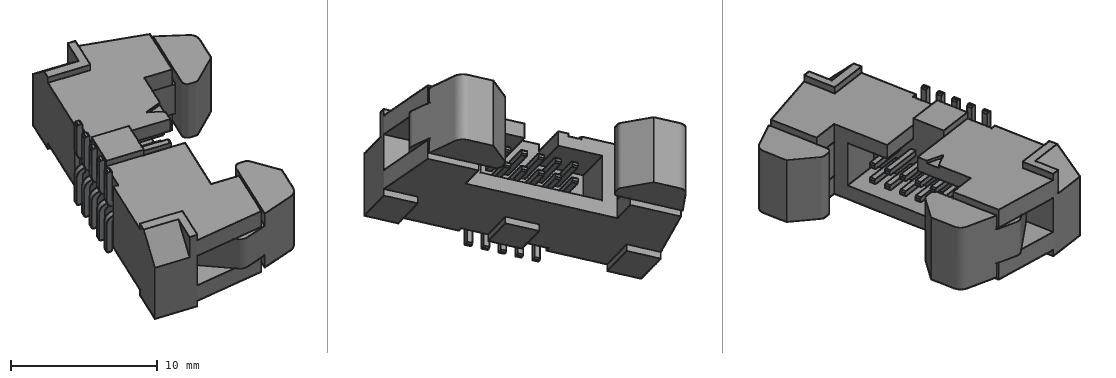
import cadquery as cq
import math


half_length = 10.42
body_height = 5.7
rim_y = 6.2
tower_y = 8.27
tower_inner_x = 5.7
tower_outer_x = 9.52

raised_height = 6.73
flange_y = 3.15
flange_length = 2.56
corner_cut = 1.92
corner_cut_y = 2.56

pitch = 1.27
contacts_per_row = 5
contact_width = 0.42
contact_thickness = 0.42
row_spacing = 1.23
bend_radius = 0.7
contact_back_y = -0.25
tail_span = 7.52
tip_length = 0.1
tip_inset = 0.1

top_wall = 1.12
cavity_height = body_height - 2 * top_wall
cavity_half_length = tower_inner_x - top_wall
pad_half_length = pitch
back_recess_half_length = 3.3
back_recess_depth = 0.37
mark_width = 1.0
mark_length = 1.2
mark_depth = 0.2

latch_top_y = 11.31
head_bottom_y = 8.52
head_height = 5.06
shank_height = 2.77
head_outer_x = 8.5
head_inner_x = 6.05
nose_x = 4.25
nose_radius = 0.42
shoulder_radius = 0.8
outer_slope = 0.37
bulge_y = 6.69
bulge_radius = 0.75
foot_slope = 0.58


def block(x_min, x_max, y_min, y_max, height):
    """Box between two X and two Y values, centred on Z = 0."""
    length = x_max - x_min
    depth = y_max - y_min
    return cq.Workplane("XY").box(length, depth, height).translate(
        ((x_min + x_max) / 2, (y_min + y_max) / 2, 0)
    )


def prism(points, height):
    """XY outline extruded equally above and below Z = 0."""
    return cq.Workplane("XY").polyline(points).close().extrude(height / 2, both=True)


def mirrored(shape):
    """Copy of a shape on the other side of the YZ plane."""
    return shape.mirror("YZ")


def round_edge(shape, x, y, radius):
    """Fillet the Z-parallel edge that stands at (x, y)."""
    return shape.edges(cq.NearestToPointSelector((x, y, 0))).fillet(radius)


def make_block():
    """Main block with a tapered tower at each end."""
    right_side = [
        (half_length, 0),
        (half_length, flange_y),
        (tower_outer_x, tower_y),
        (tower_inner_x, tower_y),
        (tower_inner_x, rim_y),
    ]
    left_side = [(-x, y) for x, y in reversed(right_side)]
    return prism(right_side + left_side, body_height)


def make_corner_cut():
    """Wedge that slopes off the upper outer corner of the left flange."""
    top_z = raised_height / 2
    return (
        cq.Workplane("XZ")
        .polyline(
            [
                (-half_length, top_z),
                (corner_cut - half_length, top_z),
                (-half_length, top_z - corner_cut),
            ]
        )
        .close()
        .extrude(-corner_cut_y)
    )


def make_cavity():
    """Mating cavity, with a keying slot through the upper wall."""
    cavity = block(-cavity_half_length, cavity_half_length, flange_y, rim_y, cavity_height)
    key_slot = block(-pad_half_length, pad_half_length, flange_y, rim_y, body_height / 2).translate(
        (0, 0, body_height / 4)
    )
    return cavity.union(key_slot)


def make_mark():
    """Triangular recess in the upper face that marks contact one."""
    mark_x = -(contacts_per_row - 1) / 2 * pitch
    return (
        cq.Workplane("XY", origin=(mark_x, rim_y, body_height / 2 - mark_depth))
        .polyline([(-mark_width / 2, 0), (mark_width / 2, 0), (0, -mark_length)])
        .close()
        .extrude(mark_depth)
    )


def make_contact():
    """Upper contact at X = 0: a straight pin bent up into a tail behind the housing."""
    low_z = (row_spacing - contact_thickness) / 2
    high_z = low_z + contact_thickness
    inner_y = contact_back_y + contact_thickness
    bend_y = contact_back_y + bend_radius
    bend_z = low_z + bend_radius
    inner_radius = bend_radius - contact_thickness
    tail_z = tail_span / 2
    sin_45 = math.sin(math.radians(45))
    profile = (
        cq.Workplane("YZ")
        .moveTo(bend_y, low_z)
        .lineTo(rim_y - tip_length, low_z)
        .lineTo(rim_y, low_z + tip_inset)
        .lineTo(rim_y, high_z - tip_inset)
        .lineTo(rim_y - tip_length, high_z)
        .lineTo(bend_y, high_z)
        .threePointArc(
            (bend_y - inner_radius * sin_45, bend_z - inner_radius * sin_45),
            (inner_y, bend_z),
        )
        .lineTo(inner_y, tail_z - tip_length)
        .lineTo(inner_y - tip_inset, tail_z)
        .lineTo(contact_back_y + tip_inset, tail_z)
        .lineTo(contact_back_y, tail_z - tip_length)
        .lineTo(contact_back_y, bend_z)
        .threePointArc(
            (bend_y - bend_radius * sin_45, bend_z - bend_radius * sin_45),
            (bend_y, low_z),
        )
        .close()
    )
    return profile.extrude(contact_width / 2, both=True)


def make_housing():
    """Housing with the contacts fixed in it, as one solid."""
    housing = make_block()
    flange = block(-half_length, flange_length - half_length, 0, flange_y, raised_height)
    corner = make_corner_cut()
    housing = housing.union(flange).union(mirrored(flange))
    housing = housing.cut(corner).cut(mirrored(corner))
    housing = housing.union(block(-pad_half_length, pad_half_length, 0, flange_y, raised_height))
    housing = housing.cut(
        block(-back_recess_half_length, back_recess_half_length, 0, back_recess_depth, raised_height)
    )
    latch_slot = block(-half_length, -tower_inner_x, flange_y, tower_y, shank_height)
    housing = housing.cut(latch_slot).cut(mirrored(latch_slot))
    housing = housing.cut(make_cavity()).cut(make_mark())

    upper_contact = make_contact()
    lower_contact = upper_contact.mirror("XY")
    for index in range(contacts_per_row):
        x = (index - (contacts_per_row - 1) / 2) * pitch
        housing = housing.union(upper_contact.translate((x, 0, 0)))
        housing = housing.union(lower_contact.translate((x, 0, 0)))
    return housing


def make_latch():
    """Left latch: a hooked head on a narrower shank that fills the inner end of its slot."""
    neck_x = -head_outer_x - (latch_top_y - head_bottom_y) * outer_slope
    nose_top_y = latch_top_y - (head_inner_x - nose_x)
    head = prism(
        [
            (-head_outer_x, latch_top_y),
            (-head_inner_x, latch_top_y),
            (-nose_x, nose_top_y),
            (-nose_x, head_bottom_y),
            (neck_x, head_bottom_y),
        ],
        head_height,
    )
    head = round_edge(head, -head_outer_x, latch_top_y, shoulder_radius)
    head = round_edge(head, -nose_x, nose_top_y, nose_radius)
    head = round_edge(head, -nose_x, head_bottom_y, nose_radius)

    bulge_x = -head_outer_x - (latch_top_y - bulge_y) * outer_slope
    foot_x = bulge_x + (bulge_y - flange_y) * foot_slope
    shank = prism(
        [
            (neck_x, head_bottom_y),
            (bulge_x, bulge_y),
            (foot_x, flange_y),
            (-tower_inner_x, flange_y),
            (-tower_inner_x, head_bottom_y),
        ],
        shank_height,
    )
    shank = round_edge(shank, bulge_x, bulge_y, bulge_radius)
    return head.union(shank)


housing = make_housing()
left_latch = make_latch()
latches = [left_latch, mirrored(left_latch)]

result = cq.Compound.makeCompound([body.solids().val() for body in [housing, *latches]])